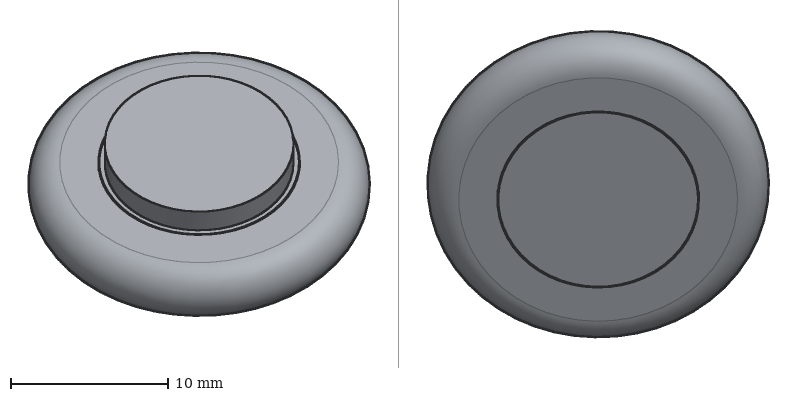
import cadquery as cq

ring_diameter = 21.7
ring_height = 4.0
bore_diameter = 12.8

flange_diameter = 12.7
stud_diameter = 12.0
overall_height = 5.7


def make_ring():
    """Ring whose outer side is a half circle between its flat faces."""
    bore_radius = bore_diameter / 2
    rim_radius = ring_height / 2
    flat_radius = ring_diameter / 2 - rim_radius
    return (
        cq.Workplane("XZ")
        .moveTo(bore_radius, 0)
        .lineTo(flat_radius, 0)
        .threePointArc((ring_diameter / 2, rim_radius), (flat_radius, ring_height))
        .lineTo(bore_radius, ring_height)
        .close()
        .revolve(360, (0, 0, 0), (0, 1, 0))
    )


def make_button():
    """Flange flush with both ring faces, carrying a narrower stud that stands above the ring."""
    flange = cq.Workplane("XY").circle(flange_diameter / 2).extrude(ring_height)
    stud = cq.Workplane("XY").circle(stud_diameter / 2).extrude(overall_height)
    return flange.union(stud)


ring = make_ring()
button = make_button()

result = cq.Compound.makeCompound([ring.val(), button.val()])